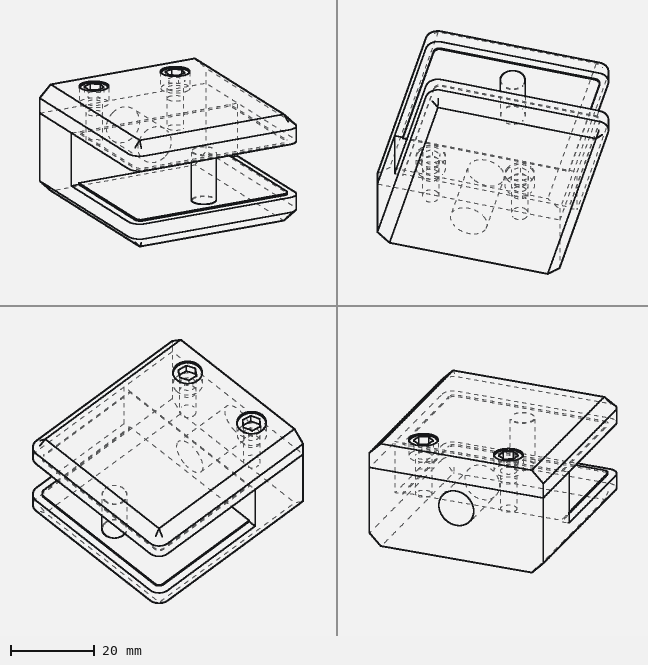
import cadquery as cq
import math

length = 48.0
width = 45.0
height = 27.0
edge_size = 3.0

opening_start = 16.0
arm_thickness = 6.75
opening_height = height - 2 * arm_thickness
cover_bottom = opening_height / 2

pad_height = 0.4
pad_inset = 2.0
pad_corner_radius = 1.45

bore_diameter = 9.0

pin_diameter = 6.0
pin_x = 41.0
pin_rim = 0.12
pin_height = opening_height - 2 * pad_height

screw_x = 6.0
screw_spacing = 22.0
head_diameter = 7.0
head_height = 4.0
head_recess = 0.2
head_rounding = 0.6
shank_diameter = 4.0
shank_length = 10.0
socket_across_flats = 4.1
socket_depth = 2.0
front_socket_turn = -6.0
rear_socket_turn = -9.5

screw_places = [
    (-screw_spacing / 2, front_socket_turn),
    (screw_spacing / 2, rear_socket_turn),
]
head_top = height / 2 - head_recess
head_bottom = head_top - head_height


def slab(x_start, bottom, top):
    """Full-width slab from x_start to the jaw end, between two heights."""
    return cq.Workplane("XY").box(
        length - x_start, width, top - bottom, centered=(False, True, False)
    ).translate((x_start, 0, bottom))


def bevelled_envelope():
    """Outer shape: rounded jaw corners, bevelled along the sides and around the jaw end."""
    body = slab(0, -height / 2, height / 2).edges("|Z and >X").fillet(edge_size)
    return body.faces("<Z or >Z").edges("not <X").chamfer(edge_size)


def cylinder(diameter, x, y, bottom, depth):
    """Upright cylinder standing on the height `bottom`."""
    return cq.Workplane("XY", origin=(x, y, bottom)).circle(diameter / 2).extrude(depth)


def pad(bottom):
    """Thin raised pad with rounded corners at the jaw end."""
    pad_length = length - pad_inset - opening_start
    block = cq.Workplane("XY").box(
        pad_length, width - 2 * pad_inset, pad_height, centered=(False, True, False)
    ).translate((opening_start, 0, bottom))
    return block.edges("|Z and >X").fillet(pad_corner_radius)


def screw_clearance():
    """Counterbored pockets that the screws fill."""
    pockets = cq.Workplane("XY")
    for y, _ in screw_places:
        pockets = pockets.add(cylinder(head_diameter, screw_x, y, head_bottom, height / 2 - head_bottom))
        pockets = pockets.add(cylinder(shank_diameter, screw_x, y, head_bottom - shank_length, shank_length))
    return pockets.combine()


def make_base(envelope):
    """Closed block with the lower arm, its pad, the bore and the screw pockets."""
    base = envelope.cut(slab(0, cover_bottom, height / 2))
    base = base.cut(slab(opening_start, -cover_bottom, cover_bottom))
    base = base.union(pad(-cover_bottom))
    base = base.cut(cq.Workplane("YZ").circle(bore_diameter / 2).extrude(opening_start))
    return base.cut(screw_clearance())


def make_cover(envelope):
    """Flat cover forming the upper arm, with its pad and the screw pockets."""
    cover = envelope.intersect(slab(0, cover_bottom, height / 2))
    cover = cover.union(pad(cover_bottom - pad_height))
    return cover.cut(screw_clearance())


def make_screw(x, y, socket_turn):
    """Socket-head screw with a rounded head edge."""
    head = cylinder(head_diameter, x, y, head_bottom, head_height).faces(">Z").edges().fillet(head_rounding)
    shank = cylinder(shank_diameter, x, y, head_bottom - shank_length, shank_length)
    corner_diameter = socket_across_flats / math.cos(math.pi / 6)
    socket = (
        cq.Workplane("XY", origin=(x, y, head_top))
        .transformed(rotate=(0, 0, socket_turn))
        .polygon(6, corner_diameter)
        .extrude(-socket_depth)
    )
    return head.union(shank).cut(socket)


def make_pin():
    """Straight pin with lightly chamfered ends, held between the pads."""
    pin_blank = cylinder(pin_diameter, pin_x, 0, -pin_height / 2, pin_height)
    return pin_blank.edges("%CIRCLE").chamfer(pin_rim)


envelope = bevelled_envelope()
base = make_base(envelope)
cover = make_cover(envelope)
pin = make_pin()
screws = [make_screw(screw_x, y, turn).val() for y, turn in screw_places]

result = cq.Compound.makeCompound([base.val(), cover.val(), pin.val(), *screws])